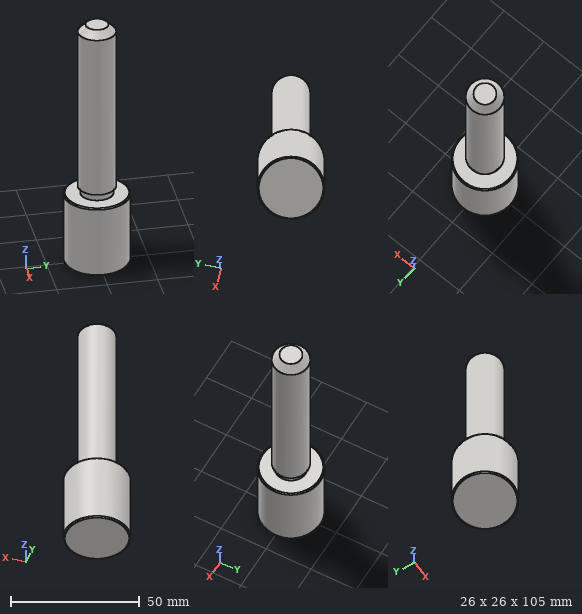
import cadquery as cq

total_height = 105.0
head_diameter = 26.0
head_height = 30.0
head_chamfer = 0.5
neck_diameter = 13.0
neck_height = 3.0
shank_diameter = 15.0
tip_chamfer = 3.0

shank_bottom = head_height + neck_height
shank_height = total_height - shank_bottom


def cylinder(diameter, height, bottom):
    """Upright cylinder on the Z axis, starting at the given height."""
    return cq.Workplane("XY").workplane(offset=bottom).circle(diameter / 2).extrude(height)


head = cylinder(head_diameter, head_height, 0).faces("<Z or >Z").edges().chamfer(head_chamfer)

neck = cylinder(neck_diameter, neck_height, head_height)

shank = cylinder(shank_diameter, shank_height, shank_bottom).faces(">Z").edges().chamfer(tip_chamfer)

result = head.union(neck).union(shank)